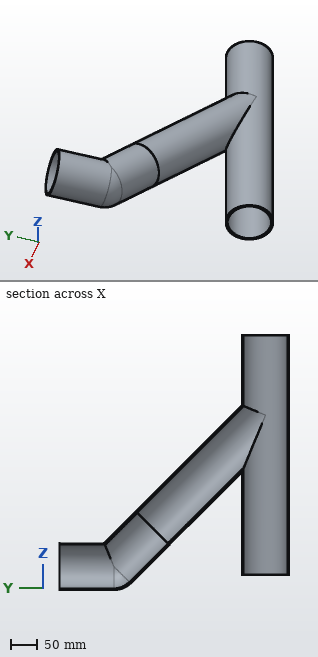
import cadquery as cq
import math

outer_diameter = 90.0
bore_diameter = 83.0
elbow_leg = 104.0
bend_y = 289.0
main_length = 457.5
main_bottom_z = 29.0
branch_angle = math.radians(45)

bend_centre = cq.Vector(0, bend_y, outer_diameter / 2)
junction = cq.Vector(0, 0, bend_centre.z + bend_y * math.tan(branch_angle))
branch_direction = cq.Vector(0, math.cos(branch_angle), -math.sin(branch_angle))
branch_length = bend_y / math.cos(branch_angle) - elbow_leg
main_bottom = cq.Vector(0, 0, main_bottom_z)
up = cq.Vector(0, 0, 1)
outlet_direction = cq.Vector(0, 1, 0)


def rod(diameter, start, direction, length):
    """Solid cylinder from a start point along a direction."""
    plane = cq.Plane(origin=start, normal=direction)
    return cq.Workplane(plane).circle(diameter / 2).extrude(length)


def tee_core(diameter):
    """Vertical run with the sloping branch, filled to one diameter."""
    run = rod(diameter, main_bottom, up, main_length)
    branch = rod(diameter, junction, branch_direction, branch_length)
    return run.union(branch)


def elbow_core(diameter):
    """Two straight legs whose outer corner is rounded by a ball."""
    inlet_leg = rod(diameter, bend_centre, -branch_direction, elbow_leg)
    outlet_leg = rod(diameter, bend_centre, outlet_direction, elbow_leg)
    ball = cq.Workplane(cq.Plane(origin=bend_centre)).sphere(diameter / 2)
    return inlet_leg.union(outlet_leg).union(ball)


branch_tee = tee_core(outer_diameter).cut(tee_core(bore_diameter))

elbow = elbow_core(outer_diameter).cut(elbow_core(bore_diameter))

result = cq.Compound.makeCompound([branch_tee.solids().val(), elbow.solids().val()])